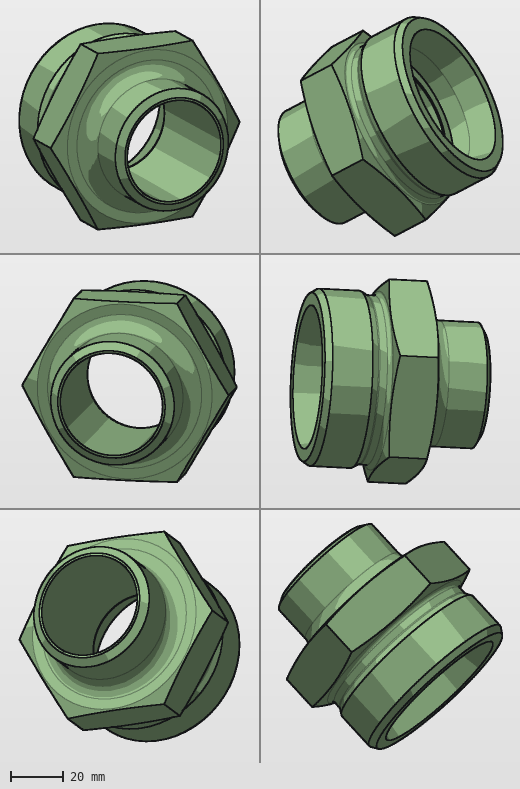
import cadquery as cq
import math

length = 67.0
hex_start = 26.0
hex_end = 44.05

large_radius = 68.0 / 2
groove_radius = 64.9 / 2
large_face_radius = 32.3
large_chamfer_end = 2.7
thread_end = 18.35
thread_runout_angle = 30.0
runout_fillet = 1.05
groove_fillet = 1.8

hex_corner_diameter = 80.8
hex_chamfer_angle = 15.0
hex_face_radius = groove_radius + groove_fillet
hex_chamfer_drop = (hex_corner_diameter / 2 - hex_face_radius) * math.tan(math.radians(hex_chamfer_angle))

runout = math.radians(thread_runout_angle)
runout_foot = thread_end + (large_radius - groove_radius) / math.tan(runout)
runout_tangent = runout_fillet * math.tan(runout / 2)
runout_fillet_start = (
    runout_foot - runout_tangent * math.cos(runout),
    groove_radius + runout_tangent * math.sin(runout),
)
runout_fillet_end = (runout_foot + runout_tangent, groove_radius)

small_radius = 48.3 / 2
small_face_radius = 21.0
small_chamfer_length = 1.9
neck_fillet = 6.0

through_radius = 40.0 / 2
seat_radius = 50.3 / 2
mouth_radius = 27.5
mouth_depth = 10.6
seat_depth = 18.35
edge_break = 0.4


def make_turned_body():
    """Revolve the round ends and the neck about X."""
    profile = (
        cq.Workplane("XY")
        .lineTo(0, large_face_radius)
        .lineTo(large_chamfer_end, large_radius)
        .lineTo(thread_end, large_radius)
        .lineTo(*runout_fillet_start)
        .radiusArc(runout_fillet_end, -runout_fillet)
        .lineTo(hex_start - groove_fillet, groove_radius)
        .radiusArc((hex_start, hex_face_radius), -groove_fillet)
        .lineTo(hex_end, hex_face_radius)
        .lineTo(hex_end, small_radius + neck_fillet)
        .radiusArc((hex_end + neck_fillet, small_radius), -neck_fillet)
        .lineTo(length - small_chamfer_length, small_radius)
        .lineTo(length, small_face_radius)
        .lineTo(length, 0)
        .close()
    )
    return profile.revolve(360, (0, 0, 0), (1, 0, 0))


def make_hexagon():
    """Make the hexagon and trim its corners with a cone on each face."""
    prism = (
        cq.Workplane("YZ", origin=(hex_start, 0, 0))
        .polygon(6, hex_corner_diameter)
        .extrude(hex_end - hex_start)
    )
    envelope = (
        cq.Workplane("XY")
        .moveTo(hex_start, 0)
        .lineTo(hex_start, hex_face_radius)
        .lineTo(hex_start + hex_chamfer_drop, hex_corner_diameter / 2)
        .lineTo(hex_end - hex_chamfer_drop, hex_corner_diameter / 2)
        .lineTo(hex_end, hex_face_radius)
        .lineTo(hex_end, 0)
        .close()
        .revolve(360, (0, 0, 0), (1, 0, 0))
    )
    return prism.intersect(envelope)


def make_bore():
    """Revolve the conical mouth, the seat and the through hole."""
    profile = (
        cq.Workplane("XY")
        .lineTo(0, mouth_radius)
        .lineTo(mouth_depth, seat_radius)
        .lineTo(seat_depth, seat_radius)
        .lineTo(seat_depth, through_radius + edge_break)
        .lineTo(seat_depth + edge_break, through_radius)
        .lineTo(length, through_radius)
        .lineTo(length, 0)
        .close()
    )
    return profile.revolve(360, (0, 0, 0), (1, 0, 0))


result = make_turned_body().union(make_hexagon()).cut(make_bore())